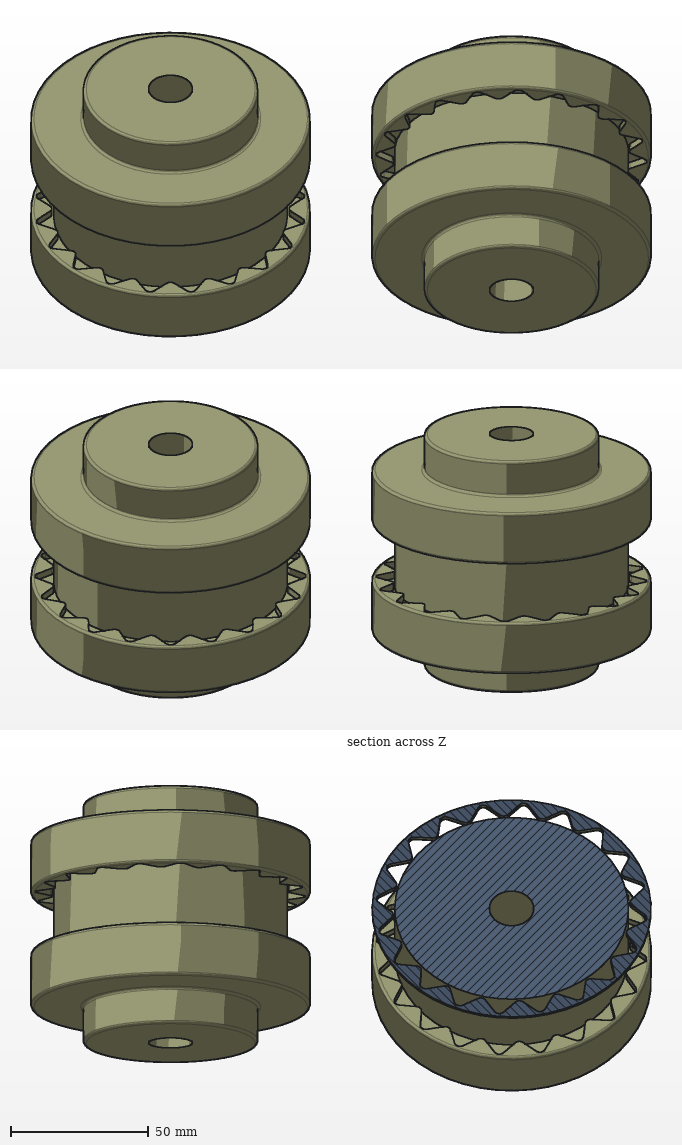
import cadquery as cq
import math


total_length = 88.9
hub_gap = 22.4
flange_thickness = 19.7

flange_diameter = 101.6
boss_diameter = 63.5
sleeve_diameter = 85.1
bore_diameter = 16.0

tooth_count = 20
recess_depth = 2.6
sharp_valley_radius = 50.6
sharp_crest_radius = 42.4
tooth_round = 2.0

edge_round = 1.0

inner_face_z = hub_gap / 2
outer_face_z = inner_face_z + flange_thickness
boss_end_z = total_length / 2
recess_floor_z = inner_face_z + recess_depth
tooth_pitch = 2 * math.pi / tooth_count


def polar_point(radius, angle):
    return (radius * math.cos(angle), radius * math.sin(angle))


def make_recess():
    """Toothed pocket with crests on the X axis and valleys half a pitch away."""
    outline = []
    for i in range(tooth_count):
        crest_angle = i * tooth_pitch
        outline.append(polar_point(sharp_crest_radius, crest_angle))
        outline.append(polar_point(sharp_valley_radius, crest_angle + tooth_pitch / 2))
    return (
        cq.Workplane("XY", origin=(0, 0, inner_face_z))
        .polyline(outline)
        .close()
        .extrude(recess_depth)
        .edges("|Z")
        .fillet(tooth_round)
    )


def make_upper_hub():
    """Flange and boss, turned about Z, with a toothed recess and a bore."""
    flange_radius = flange_diameter / 2
    boss_radius = boss_diameter / 2
    body = (
        cq.Workplane("XZ")
        .moveTo(0, inner_face_z)
        .lineTo(flange_radius, inner_face_z)
        .lineTo(flange_radius, outer_face_z)
        .lineTo(boss_radius, outer_face_z)
        .lineTo(boss_radius, boss_end_z)
        .lineTo(0, boss_end_z)
        .close()
        .revolve(360, (0, 0, 0), (0, 1, 0))
        .edges("%CIRCLE")
        .fillet(edge_round)
    )
    bore = (
        cq.Workplane("XY", origin=(0, 0, inner_face_z))
        .circle(bore_diameter / 2)
        .extrude(boss_end_z - inner_face_z)
    )
    return body.cut(make_recess()).cut(bore)


def make_sleeve():
    """Plain sleeve seated on the recess floors of both hubs, bored through."""
    return (
        cq.Workplane("XY", origin=(0, 0, -recess_floor_z))
        .circle(sleeve_diameter / 2)
        .circle(bore_diameter / 2)
        .extrude(2 * recess_floor_z)
    )


sleeve = make_sleeve()
upper_hub = make_upper_hub()
hubs = []
for hub in (upper_hub, upper_hub.mirror("XY")):
    hubs.append(hub.val())

result = cq.Compound.makeCompound([sleeve.val(), *hubs])